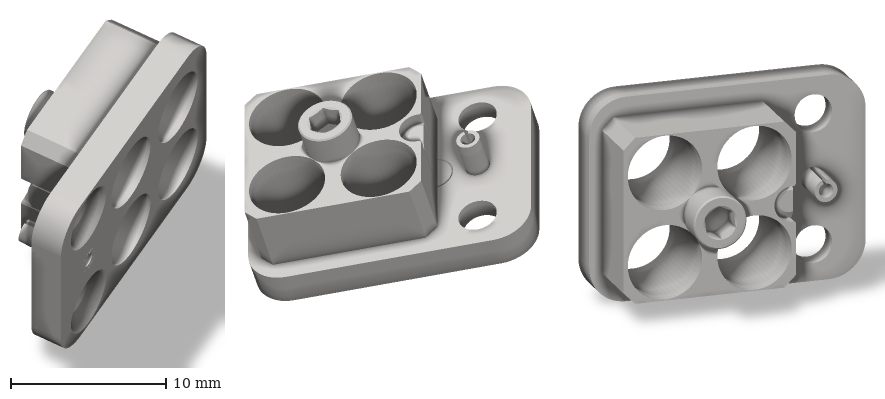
import cadquery as cq
import math


flange_thickness = 2.2
flange_width = 18.8
flange_height = 13.91
flange_corner_radius = 2.5
mount_hole_diameter = 2.55
mount_hole_pitch = 8.91
countersink_depth = 0.85
countersink_diameter = 4.55
pin_row_y = -5.85

block_depth = 4.35
block_width = 11.73
block_height = 11.3
block_centre_y = 2.67
block_corner_chamfer = 0.79
port_diameter = 5.05
port_pitch = 6.1

head_diameter = 3.6
head_length = 2.16
head_front_chamfer = 0.1
head_back_chamfer = 0.05
shank_diameter = 2.0
socket_flat_width = 2.0
socket_turn = 84.0
socket_depth = 1.5
socket_mouth_slope = math.radians(30)
socket_bottom_depth = 0.38

key_diameter = 2.4
key_inset_y = 0.26
key_recess = 0.56
key_tip_diameter = 1.49
key_tip_length = 0.26
key_bore_chamfer = 0.1
key_groove_bevel = 0.15

spring_pin_diameter = 1.6
spring_pin_hole_diameter = 1.64
spring_pin_tip_diameter = 1.55
spring_pin_bore = 0.98
spring_pin_projection = 2.55
spring_pin_tip_length = 0.71
spring_pin_slot_angle = 20.0

block_front_x = -block_depth
block_side_y = block_centre_y - block_width / 2
head_front_x = block_front_x - head_length
key_y = block_side_y + key_inset_y
key_front_x = block_front_x + key_recess
key_radius = key_diameter / 2
socket_corner_diameter = socket_flat_width / math.cos(math.radians(30))


def section_at(x):
    """Workplane across the X axis: local x is Y, local y is Z, extrusion goes to +X."""
    return cq.Workplane("YZ", origin=(x, 0, 0))


def rod(x_start, x_end, y, diameter):
    """Round bar along X, centred on height Z = 0."""
    return section_at(x_start).center(y, 0).circle(diameter / 2).extrude(x_end - x_start)


def cone(x_start, x_end, y, start_diameter, end_diameter):
    """Cone or cone frustum along X, centred on height Z = 0."""
    return cq.Workplane(cq.Solid.makeCone(
        start_diameter / 2, end_diameter / 2, x_end - x_start,
        pnt=cq.Vector(x_start, y, 0), dir=cq.Vector(1, 0, 0)))


def ports(x_start, x_end):
    """The four round contact ports, as cutters."""
    return (section_at(x_start).center(block_centre_y, 0)
            .rarray(port_pitch, port_pitch, 2, 2)
            .circle(port_diameter / 2).extrude(x_end - x_start))


def make_flange():
    plate = (section_at(0).rect(flange_width, flange_height).extrude(flange_thickness)
             .edges("|X").fillet(flange_corner_radius))
    plate = plate.cut(ports(0, flange_thickness))
    for side in (-1, 1):
        hole_z = side * mount_hole_pitch / 2
        hole = rod(0, flange_thickness, pin_row_y, mount_hole_diameter)
        countersink = cone(flange_thickness - countersink_depth, flange_thickness, pin_row_y,
                           mount_hole_diameter, countersink_diameter)
        plate = plate.cut(hole.union(countersink).translate((0, 0, hole_z)))
    plate = plate.cut(rod(0, flange_thickness, block_centre_y, shank_diameter))
    plate = plate.cut(rod(0, flange_thickness, pin_row_y, spring_pin_hole_diameter))
    plate = plate.cut(rod(0, flange_thickness, key_y, key_diameter))
    return plate.cut(cone(0, key_bore_chamfer, key_y, key_diameter + 2 * key_bore_chamfer, key_diameter))


def make_block():
    body = (section_at(block_front_x).center(block_centre_y, 0)
            .rect(block_width, block_height).extrude(block_depth)
            .edges("|X").chamfer(block_corner_chamfer))
    body = body.cut(ports(block_front_x, 0))
    body = body.cut(rod(block_front_x, 0, block_centre_y, shank_diameter))
    body = body.cut(rod(block_front_x, 0, key_y, key_diameter))
    mouth_half = math.sqrt(key_radius ** 2 - key_inset_y ** 2)
    bevel = (section_at(block_front_x)
             .moveTo(block_side_y, -mouth_half - key_groove_bevel)
             .lineTo(block_side_y, mouth_half + key_groove_bevel)
             .lineTo(block_side_y + key_groove_bevel, mouth_half)
             .lineTo(block_side_y + key_groove_bevel, -mouth_half)
             .close().extrude(block_depth))
    return body.cut(bevel)


def make_screw():
    head = (rod(head_front_x, block_front_x, block_centre_y, head_diameter)
            .faces("<X").chamfer(head_front_chamfer)
            .faces(">X").chamfer(head_back_chamfer))
    screw = head.union(rod(block_front_x, flange_thickness, block_centre_y, shank_diameter))
    hexagon = (section_at(head_front_x).center(block_centre_y, 0)
               .transformed(rotate=(0, 0, socket_turn))
               .polygon(6, socket_corner_diameter).extrude(socket_depth))
    mouth_depth = socket_corner_diameter / 2 * math.tan(socket_mouth_slope)
    mouth = cone(head_front_x, head_front_x + mouth_depth, block_centre_y, socket_corner_diameter, 0)
    socket_end_x = head_front_x + socket_depth
    bottom = cone(socket_end_x, socket_end_x + socket_bottom_depth, block_centre_y, socket_flat_width, 0)
    return screw.cut(hexagon).cut(mouth).cut(bottom)


def make_key_pin():
    tip_end_x = key_front_x + key_tip_length
    pin = cone(key_front_x, tip_end_x, key_y, key_tip_diameter, key_diameter)
    pin = pin.union(rod(tip_end_x, flange_thickness, key_y, key_diameter))
    waste = (section_at(key_front_x)
             .center(block_side_y - key_radius, 0)
             .rect(2 * key_radius, 2 * key_diameter).extrude(-key_front_x))
    return pin.cut(waste)


def make_spring_pin():
    """Tube swept about X, leaving the slot open on the +Y side of the top."""
    bore_radius = spring_pin_bore / 2
    radius = spring_pin_diameter / 2
    front_x = -spring_pin_projection
    wall = (cq.Workplane("XZ", origin=(0, pin_row_y, 0))
            .moveTo(front_x, bore_radius)
            .lineTo(front_x, spring_pin_tip_diameter / 2)
            .lineTo(front_x + spring_pin_tip_length, radius)
            .lineTo(flange_thickness, radius)
            .lineTo(flange_thickness, bore_radius)
            .close())
    return wall.revolve(360 - spring_pin_slot_angle, (0, 0, 0), (1, 0, 0))


flange = make_flange()
block = make_block()
screw = make_screw()
key_pin = make_key_pin()
spring_pin = make_spring_pin()

result = cq.Compound.makeCompound([
    flange.val(),
    block.val(),
    screw.val(),
    key_pin.val(),
    spring_pin.val(),
])